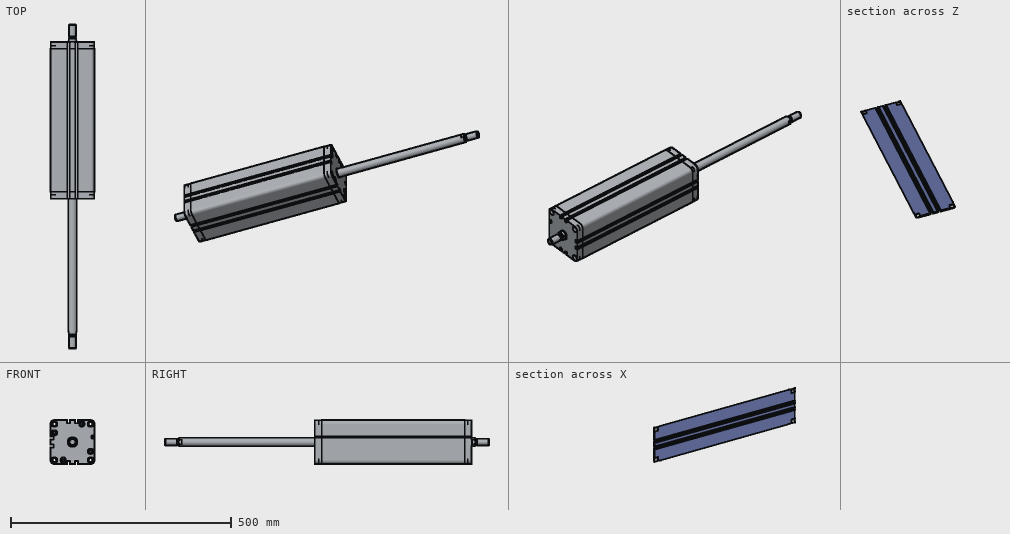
import cadquery as cq
import math

HOUSING_SIZE = 100.0
HOUSING_LENGTH = 356.0
CAP_LENGTH = 16.0
CORNER_RADIUS = 9.0
CAP_SETBACK = 0.2
HALF_SIZE = HOUSING_SIZE / 2

CORNER_HOLE_OFFSET = HALF_SIZE - CORNER_RADIUS
CORNER_HOLE_DIAMETER = 8.57
CORNER_BORE_DIAMETER = 13.5
CORNER_BORE_DEPTH = 9.0

SCREW_EDGE_OFFSET = CORNER_HOLE_OFFSET
SCREW_SIDE_OFFSET = 21.0
SCREW_RECESS_DIAMETER = 12.5
SCREW_RECESS_DEPTH = 0.5
SCREW_SOCKET_FLATS = 5.0
SCREW_SOCKET_DEPTH = 4.0

SLOT_OFFSET = 9.0
SLOT_MOUTH = 5.2
SLOT_LIP = 3.6
SLOT_WIDTH = 7.4
SLOT_SHOULDER = 5.2
SLOT_DEPTH = 7.0
SIDE_SLOT_OFFSET = 11.5
SIDE_SLOT_MOUTH = 4.0

ROD_DIAMETER = 20.0
ROD_CLEARANCE_DIAMETER = 22.0
ROD_CLEARANCE_DEPTH = 2.0
FRONT_EXTENSION = 340.0
REAR_EXTENSION = 40.0
THREAD_DIAMETER = 16.0
THREAD_TIP_DIAMETER = 13.5
TIP_CHAMFER_LENGTH = 2.6
THREAD_END = 27.0
RELIEF_END = 30.8
FLATS_END = 38.5
RELIEF_DIAMETER = 13.5
SHOULDER_CHAMFER = 2.2
FLATS_WIDTH = 17.5


def cylinder_y(diameter, start, end, x=0.0, z=0.0):
    """Solid cylinder parallel to Y, from Y = start to Y = end."""
    axis = cq.Vector(0, 1, 0)
    return cq.Workplane(cq.Solid.makeCylinder(diameter / 2, end - start, cq.Vector(x, start, z), axis))


def square_prism(size, radius, start, end):
    """Square prism with rounded edges along Y."""
    length = end - start
    prism = cq.Workplane("XY").box(size, length, size).edges("|Y").fillet(radius)
    return prism.translate((0, (start + end) / 2, 0))


def slot(offset, mouth, turn):
    """Slot in the top face at X = offset, turned about the Y axis by an angle in degrees."""
    half_profile = [
        (mouth / 2, 0),
        (mouth / 2, SLOT_LIP),
        (SLOT_WIDTH / 2, SLOT_LIP),
        (SLOT_WIDTH / 2, SLOT_SHOULDER),
        (mouth / 2, SLOT_DEPTH),
    ]
    right = [(offset + half, HALF_SIZE - depth) for half, depth in half_profile]
    left = [(offset - half, HALF_SIZE - depth) for half, depth in reversed(half_profile)]
    profile = cq.Workplane("XZ").polyline(right + left).close()
    return profile.extrude(-HOUSING_LENGTH).rotate((0, 0, 0), (0, 1, 0), turn)


def corner_hole(x, z):
    """Through hole counterbored at both ends."""
    hole = cylinder_y(CORNER_HOLE_DIAMETER, 0, HOUSING_LENGTH, x, z)
    front_bore = cylinder_y(CORNER_BORE_DIAMETER, 0, CORNER_BORE_DEPTH, x, z)
    rear_bore = cylinder_y(CORNER_BORE_DIAMETER, HOUSING_LENGTH - CORNER_BORE_DEPTH, HOUSING_LENGTH, x, z)
    return hole.union(front_bore).union(rear_bore)


def screw_recess(turn):
    """Recessed screw head with a hexagon socket, turned about the Y axis."""
    recess = cylinder_y(SCREW_RECESS_DIAMETER, 0, SCREW_RECESS_DEPTH, SCREW_SIDE_OFFSET, SCREW_EDGE_OFFSET)
    socket_diameter = SCREW_SOCKET_FLATS / math.cos(math.pi / 6)
    socket = cq.Workplane("XZ").center(SCREW_SIDE_OFFSET, SCREW_EDGE_OFFSET).polygon(6, socket_diameter)
    recess = recess.union(socket.extrude(-SCREW_SOCKET_DEPTH))
    return recess.rotate((0, 0, 0), (0, 1, 0), turn)


def make_housing():
    rear_cap_start = HOUSING_LENGTH - CAP_LENGTH
    cap_size = HOUSING_SIZE - 2 * CAP_SETBACK
    housing = square_prism(HOUSING_SIZE, CORNER_RADIUS, CAP_LENGTH, rear_cap_start)
    for start in (0, rear_cap_start):
        housing = housing.union(square_prism(cap_size, CORNER_RADIUS, start, start + CAP_LENGTH))
    for turn in (0, 180, -90):
        for offset in (-SLOT_OFFSET, SLOT_OFFSET):
            housing = housing.cut(slot(offset, SLOT_MOUTH, turn))
    housing = housing.cut(slot(-SIDE_SLOT_OFFSET, SIDE_SLOT_MOUTH, 90))
    for x in (-CORNER_HOLE_OFFSET, CORNER_HOLE_OFFSET):
        for z in (-CORNER_HOLE_OFFSET, CORNER_HOLE_OFFSET):
            housing = housing.cut(corner_hole(x, z))
    for turn in (0, 90, 180, 270):
        housing = housing.cut(screw_recess(turn))
    for start in (0, HOUSING_LENGTH - ROD_CLEARANCE_DEPTH):
        housing = housing.cut(cylinder_y(ROD_CLEARANCE_DIAMETER, start, start + ROD_CLEARANCE_DEPTH))
    return housing


def make_rod():
    front = -FRONT_EXTENSION
    rear = HOUSING_LENGTH + REAR_EXTENSION
    rod_radius = ROD_DIAMETER / 2
    thread_radius = THREAD_DIAMETER / 2
    tip_radius = THREAD_TIP_DIAMETER / 2
    relief_radius = RELIEF_DIAMETER / 2
    end_profile = [
        (0, 0),
        (tip_radius, 0),
        (thread_radius, TIP_CHAMFER_LENGTH),
        (thread_radius, THREAD_END),
        (relief_radius, THREAD_END),
        (relief_radius, RELIEF_END),
        (rod_radius - SHOULDER_CHAMFER, RELIEF_END),
        (rod_radius, RELIEF_END + SHOULDER_CHAMFER),
    ]
    front_points = [(radius, front + distance) for radius, distance in end_profile]
    rear_points = [(radius, rear - distance) for radius, distance in reversed(end_profile)]
    rod = cq.Workplane("XY").polyline(front_points + rear_points).close()
    rod = rod.revolve(360, (0, 0, 0), (0, 1, 0))
    flats_length = FLATS_END - RELIEF_END
    flats_middle = (FLATS_END + RELIEF_END) / 2
    for y in (front + flats_middle, rear - flats_middle):
        for side in (-1, 1):
            x = side * (FLATS_WIDTH + ROD_DIAMETER) / 2
            cutter = cq.Workplane("XY").box(ROD_DIAMETER, flats_length, ROD_DIAMETER)
            rod = rod.cut(cutter.translate((x, y, 0)))
    return rod


result = make_housing().union(make_rod())